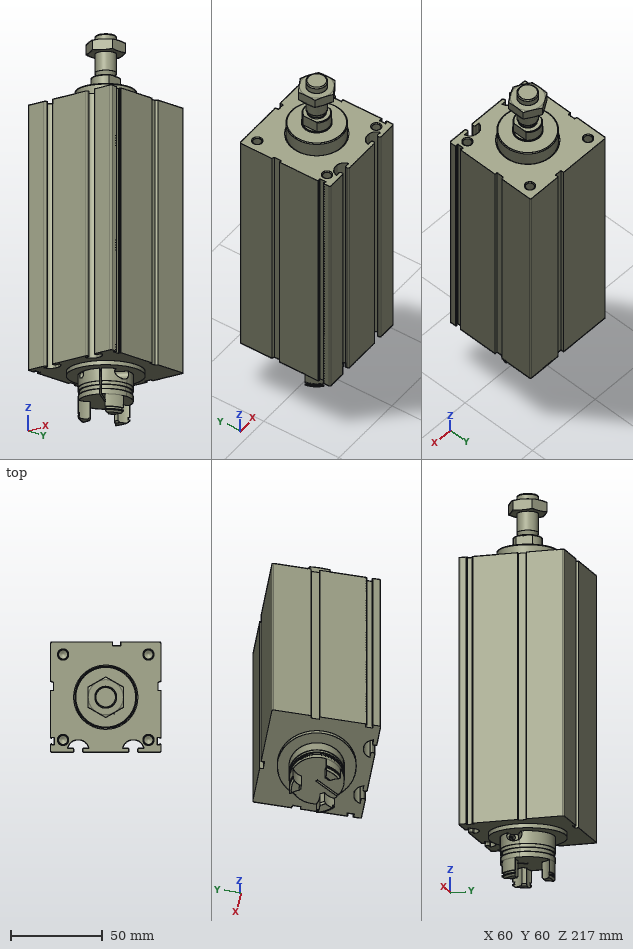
import cadquery as cq
import math

JAW_LENGTH = 10.0
HUB_TOP = 24.5
FLANGE_HEIGHT = 2.4
HOUSING_LENGTH = 150.0
COLLAR_HEIGHT = 8.5
COLLAR_SEAT_DEPTH = 4.3
TOTAL_HEIGHT = 217.0

HOUSING_BOTTOM = HUB_TOP + FLANGE_HEIGHT
HOUSING_TOP = HOUSING_BOTTOM + HOUSING_LENGTH
COLLAR_TOP = HOUSING_TOP + COLLAR_HEIGHT
COLLAR_SEAT = HOUSING_TOP - COLLAR_SEAT_DEPTH

HOUSING_SIDE = 60.0
HALF_SIDE = HOUSING_SIDE / 2
CORNER_RADIUS = 0.9

BACK_SLOT_X = 5.9
BACK_SLOT_WIDTH = 4.3
BACK_SLOT_DEPTH = 2.0

SIDE_SLOT_BOTTOM = 3.7
SIDE_SLOT_WIDTH = 5.0
SIDE_SLOT_TAPER = 0.7
SIDE_SLOT_DEPTH = 1.5

LOW_SLOT_Y = -23.9
LOW_SLOT_MOUTH = 2.5
LOW_SLOT_FLARE = 0.5
LOW_SLOT_LIP = 0.7
LOW_SLOT_WIDTH = 4.0
LOW_SLOT_DEPTH = 2.0

SENSOR_SLOT_X = 15.0
SENSOR_MOUTH_HALF = 2.4
SENSOR_LIP = 2.4
SENSOR_LIP_RADIUS = 0.9
SENSOR_HALF_WIDTH = 5.6
SENSOR_CAVITY_HEIGHT = 4.3
SENSOR_ROOF_HALF = 1.0
SENSOR_BULGE_HALF = 4.0
SENSOR_BULGE_HEIGHT = 3.0

MOUNT_HOLE_OFFSET = 23.2
MOUNT_HOLE_DIAMETER = 5.0
MOUNT_HOLE_DEPTH = 15.2
MOUNT_HOLE_CHAMFER = 0.55
DRILL_POINT_ANGLE = 118.0

COLLAR_DIAMETER = 33.6
COLLAR_CHAMFER = 0.55
COLLAR_SEAT_CHAMFER = 0.7
SEAL_DIAMETER = 16.7
SEAL_HEIGHT = 0.7

ROD_DIAMETER = 16.0
ROD_TOP = 193.0
ROD_CHAMFER = 0.5
FLATS_WIDTH = 13.0
FLATS_BOTTOM = COLLAR_TOP + SEAL_HEIGHT

STUD_DIAMETER = 12.0
STUD_CHAMFER = 0.7
NECK_DIAMETER = 10.5
NECK_HEIGHT = 0.9
NECK_CONE_HEIGHT = 2.2

NUT_WIDTH = 19.0
NUT_BOTTOM = 206.7
NUT_HEIGHT = 6.0
NUT_CHAMFER_ANGLE = 15.0
NUT_TURN = 30.0

FLANGE_DIAMETER = 43.0
HUB_DIAMETER = 30.4
HUB_STEP_Z = 17.4
HUB_LOWER_DIAMETER = 30.0
HUB_GROOVE_DIAMETER = 28.6
HUB_GROOVE_BOTTOM = 13.0
HUB_GROOVE_TOP = 15.5

JAW_COUNT = 3
JAW_INNER_RADIUS = 8.7
JAW_GAP_RADIUS = 9.5
JAW_GAP_CENTRE = 12.1
JAW_GAP_FIRST_ANGLE = 30.0
JAW_CHAMFER = 1.0
JAW_GROOVE_BOTTOM = 1.7
JAW_GROOVE_TOP = 3.0
JAW_GROOVE_DEPTH = 0.7

CLAMP_SLIT_ANGLE = -60.0
CLAMP_SLIT_WIDTH = 1.0
CLAMP_SCREW_OFFSET = 9.8
CLAMP_SCREW_Z = 22.8
CLAMP_SCREW_DIAMETER = 3.3
CLAMP_HEAD_DIAMETER = 7.0
CLAMP_HEAD_SEAT = 5.5


def cylinder(diameter, bottom, top):
    return cq.Workplane("XY").workplane(offset=bottom).circle(diameter / 2).extrude(top - bottom)


def ring(outer_diameter, inner_diameter, bottom, top):
    return cylinder(outer_diameter, bottom, top).cut(cylinder(inner_diameter, bottom, top))


def block(x_size, y_size, x, y, bottom=HOUSING_BOTTOM, top=HOUSING_TOP):
    return (
        cq.Workplane("XY").workplane(offset=bottom).center(x, y).rect(x_size, y_size).extrude(top - bottom)
    )


def side_slot():
    """Shallow slot in the -X face, its upper wall slanted so that the mouth is the widest part."""
    mouth_top = SIDE_SLOT_BOTTOM + SIDE_SLOT_WIDTH
    floor_x = SIDE_SLOT_DEPTH - HALF_SIDE
    return (
        cq.Workplane("XY")
        .workplane(offset=HOUSING_BOTTOM)
        .moveTo(-HALF_SIDE, SIDE_SLOT_BOTTOM)
        .lineTo(floor_x, SIDE_SLOT_BOTTOM)
        .lineTo(floor_x, mouth_top - SIDE_SLOT_TAPER)
        .lineTo(-HALF_SIDE, mouth_top)
        .close()
        .extrude(HOUSING_LENGTH)
    )


def low_slot():
    """Undercut slot in the -X face: a flared mouth between two lips opens into a wider channel."""
    lip_x = LOW_SLOT_LIP - HALF_SIDE
    half_mouth = LOW_SLOT_MOUTH / 2
    half_face = half_mouth + LOW_SLOT_FLARE
    channel_depth = LOW_SLOT_DEPTH - LOW_SLOT_LIP
    mouth = (
        cq.Workplane("XY")
        .workplane(offset=HOUSING_BOTTOM)
        .center(0, LOW_SLOT_Y)
        .moveTo(-HALF_SIDE, -half_face)
        .lineTo(lip_x, -half_mouth)
        .lineTo(lip_x, half_mouth)
        .lineTo(-HALF_SIDE, half_face)
        .close()
        .extrude(HOUSING_LENGTH)
    )
    return mouth.union(block(channel_depth, LOW_SLOT_WIDTH, lip_x + channel_depth / 2, LOW_SLOT_Y))


def sensor_slot(x):
    """T-shaped slot in the -Y face: a mouth between rounded lips opens into an arched cavity."""
    edge = SENSOR_MOUTH_HALF + SENSOR_LIP_RADIUS
    inset = SENSOR_LIP_RADIUS * (1 - math.sqrt(0.5))
    face_y = -HALF_SIDE
    lip_y = face_y + SENSOR_LIP
    roof_y = lip_y + SENSOR_CAVITY_HEIGHT
    bulge_y = lip_y + SENSOR_BULGE_HEIGHT
    return (
        cq.Workplane("XY")
        .workplane(offset=HOUSING_BOTTOM)
        .center(x, 0)
        .moveTo(-edge, face_y)
        .threePointArc(
            (-SENSOR_MOUTH_HALF - inset, face_y + inset), (-SENSOR_MOUTH_HALF, face_y + SENSOR_LIP_RADIUS)
        )
        .lineTo(-SENSOR_MOUTH_HALF, lip_y - SENSOR_LIP_RADIUS)
        .threePointArc((-SENSOR_MOUTH_HALF - inset, lip_y - inset), (-edge, lip_y))
        .lineTo(-SENSOR_HALF_WIDTH, lip_y)
        .threePointArc((-SENSOR_BULGE_HALF, bulge_y), (-SENSOR_ROOF_HALF, roof_y))
        .lineTo(SENSOR_ROOF_HALF, roof_y)
        .threePointArc((SENSOR_BULGE_HALF, bulge_y), (SENSOR_HALF_WIDTH, lip_y))
        .lineTo(edge, lip_y)
        .threePointArc(
            (SENSOR_MOUTH_HALF + inset, lip_y - inset), (SENSOR_MOUTH_HALF, lip_y - SENSOR_LIP_RADIUS)
        )
        .lineTo(SENSOR_MOUTH_HALF, face_y + SENSOR_LIP_RADIUS)
        .threePointArc((SENSOR_MOUTH_HALF + inset, face_y + inset), (edge, face_y))
        .close()
        .extrude(HOUSING_LENGTH)
    )


def mount_hole():
    """Blind drilled hole with a conical end and a chamfered mouth, cut down from the housing top."""
    radius = MOUNT_HOLE_DIAMETER / 2
    point = radius / math.tan(math.radians(DRILL_POINT_ANGLE / 2))
    return (
        cq.Workplane("XZ")
        .moveTo(0, 0)
        .lineTo(radius + MOUNT_HOLE_CHAMFER, 0)
        .lineTo(radius, -MOUNT_HOLE_CHAMFER)
        .lineTo(radius, -MOUNT_HOLE_DEPTH)
        .lineTo(0, -MOUNT_HOLE_DEPTH - point)
        .close()
        .revolve(360, (0, 0), (0, 1))
        .translate((0, 0, HOUSING_TOP))
    )


def make_housing():
    """Square profile with slots in four faces, corner mounting holes and a chamfered collar seat."""
    housing = block(HOUSING_SIDE, HOUSING_SIDE, 0, 0).edges("|Z").fillet(CORNER_RADIUS)
    housing = housing.cut(block(BACK_SLOT_WIDTH, 2 * BACK_SLOT_DEPTH, BACK_SLOT_X, HALF_SIDE))
    for slot in (side_slot(), low_slot()):
        housing = housing.cut(slot).cut(slot.mirror("YZ"))
    for side in (-1, 1):
        housing = housing.cut(sensor_slot(side * SENSOR_SLOT_X))
        for end in (-1, 1):
            place = (side * MOUNT_HOLE_OFFSET, end * MOUNT_HOLE_OFFSET, 0)
            housing = housing.cut(mount_hole().translate(place))
    housing = housing.cut(cylinder(COLLAR_DIAMETER, COLLAR_SEAT, HOUSING_TOP))
    seat_edges = housing.edges(cq.selectors.RadiusNthSelector(-1))
    return seat_edges.edges(">Z").chamfer(COLLAR_SEAT_CHAMFER)


def make_collar():
    """Guide collar seated in the housing top, with a raised seal lip around the rod bore."""
    collar = cylinder(COLLAR_DIAMETER, COLLAR_SEAT, COLLAR_TOP).faces(">Z").edges().chamfer(COLLAR_CHAMFER)
    collar = collar.union(cylinder(SEAL_DIAMETER, COLLAR_SEAT, FLATS_BOTTOM))
    return collar.cut(cylinder(ROD_DIAMETER, COLLAR_SEAT, FLATS_BOTTOM))


def make_rod():
    """Piston rod with two wrench flats facing -X and +X above the seal."""
    rod = cylinder(ROD_DIAMETER, COLLAR_SEAT, ROD_TOP).faces(">Z").edges().chamfer(ROD_CHAMFER)
    for side in (-1, 1):
        flat_x = side * (FLATS_WIDTH / 2 + ROD_DIAMETER / 2)
        rod = rod.cut(block(ROD_DIAMETER, ROD_DIAMETER, flat_x, 0, FLATS_BOTTOM, ROD_TOP))
    return rod


def make_stud():
    """Stud standing on the rod: a narrow neck, a cone and a plain cylinder with a chamfered tip."""
    radius = STUD_DIAMETER / 2
    neck_top = ROD_TOP + NECK_HEIGHT
    neck_radius = NECK_DIAMETER / 2
    return (
        cq.Workplane("XZ")
        .moveTo(0, ROD_TOP)
        .lineTo(neck_radius, ROD_TOP)
        .lineTo(neck_radius, neck_top)
        .lineTo(radius, neck_top + NECK_CONE_HEIGHT)
        .lineTo(radius, TOTAL_HEIGHT - STUD_CHAMFER)
        .lineTo(radius - STUD_CHAMFER, TOTAL_HEIGHT)
        .lineTo(0, TOTAL_HEIGHT)
        .close()
        .revolve(360, (0, 0), (0, 1))
    )


def make_nut():
    """Hexagon nut with corners toward -Y and +Y, chamfered at both ends."""
    corner_radius = NUT_WIDTH / math.sqrt(3)
    flat_radius = NUT_WIDTH / 2
    drop = (corner_radius - flat_radius) * math.tan(math.radians(NUT_CHAMFER_ANGLE))
    hexagon = (
        cq.Workplane("XY")
        .workplane(offset=NUT_BOTTOM)
        .polygon(6, 2 * corner_radius)
        .extrude(NUT_HEIGHT)
        .rotate((0, 0, 0), (0, 0, 1), NUT_TURN)
    )
    envelope = (
        cq.Workplane("XZ")
        .moveTo(0, 0)
        .lineTo(flat_radius, 0)
        .lineTo(corner_radius, drop)
        .lineTo(corner_radius, NUT_HEIGHT - drop)
        .lineTo(flat_radius, NUT_HEIGHT)
        .lineTo(0, NUT_HEIGHT)
        .close()
        .revolve(360, (0, 0), (0, 1))
        .translate((0, 0, NUT_BOTTOM))
    )
    return hexagon.intersect(envelope).cut(cylinder(STUD_DIAMETER, NUT_BOTTOM, NUT_BOTTOM + NUT_HEIGHT))


def make_flange():
    """Round plate between the housing and the coupling hub."""
    return cylinder(FLANGE_DIAMETER, HUB_TOP, HOUSING_BOTTOM)


def jaw_blank():
    """Grooved ring, chamfered inside and outside at its free end, that the jaws are cut from."""
    blank = ring(HUB_LOWER_DIAMETER, 2 * JAW_INNER_RADIUS, 0, JAW_LENGTH)
    blank = blank.faces("<Z").edges().chamfer(JAW_CHAMFER)
    groove_floor = HUB_LOWER_DIAMETER - 2 * JAW_GROOVE_DEPTH
    return blank.cut(ring(HUB_LOWER_DIAMETER, groove_floor, JAW_GROOVE_BOTTOM, JAW_GROOVE_TOP))


def make_jaws():
    """Three jaws left standing between round gaps spaced evenly about the axis."""
    jaws = jaw_blank()
    for index in range(JAW_COUNT):
        angle = math.radians(JAW_GAP_FIRST_ANGLE + index * 360 / JAW_COUNT)
        gap = cylinder(2 * JAW_GAP_RADIUS, 0, JAW_LENGTH)
        centre = (JAW_GAP_CENTRE * math.cos(angle), JAW_GAP_CENTRE * math.sin(angle), 0)
        jaws = jaws.cut(gap.translate(centre))
    return jaws


def clamp_cut():
    """Radial slit and the screw hole across it, made along +X and turned to the clamp angle."""
    slit = block(HUB_DIAMETER, CLAMP_SLIT_WIDTH, HUB_DIAMETER / 2, 0, JAW_LENGTH, HUB_TOP)
    screw_plane = cq.Workplane("XZ").center(CLAMP_SCREW_OFFSET, CLAMP_SCREW_Z)
    screw = screw_plane.circle(CLAMP_SCREW_DIAMETER / 2).extrude(HUB_DIAMETER / 2, both=True)
    head = (
        screw_plane.workplane(offset=-HUB_DIAMETER)
        .circle(CLAMP_HEAD_DIAMETER / 2)
        .extrude(HUB_DIAMETER - CLAMP_HEAD_SEAT)
    )
    return slit.union(screw).union(head).rotate((0, 0, 0), (0, 0, 1), CLAMP_SLIT_ANGLE)


def make_hub():
    """Coupling hub: stepped and grooved body, clamp slit with its screw hole, and the jaws below."""
    hub = cylinder(HUB_LOWER_DIAMETER, JAW_LENGTH, HUB_STEP_Z)
    hub = hub.union(cylinder(HUB_DIAMETER, HUB_STEP_Z, HUB_TOP))
    hub = hub.cut(ring(HUB_DIAMETER, HUB_GROOVE_DIAMETER, HUB_GROOVE_BOTTOM, HUB_GROOVE_TOP))
    return hub.cut(clamp_cut()).union(make_jaws(), clean=False)


housing = make_housing()
collar = make_collar()
rod = make_rod()
stud = make_stud()
nut = make_nut()
flange = make_flange()
hub = make_hub()

result = cq.Compound.makeCompound(
    [housing.val(), collar.val(), rod.val(), stud.val(), nut.val(), flange.val(), hub.val()]
)